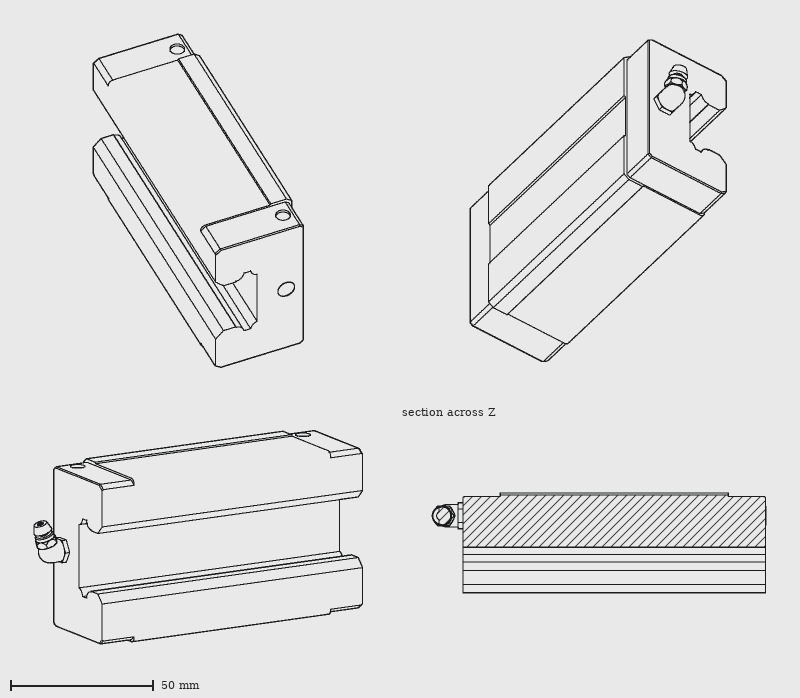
import cadquery as cq
import math

block_length = 80.0
cap_length = 13.0
depth = 35.0
height = 60.0
carriage_length = block_length + 2 * cap_length

side_relief = 0.5
land_depth = 8.4
land_slope = 0.3
back_chamfer_y = 2.1
back_chamfer_z = 1.6
front_fillet = 1.9
back_recess_half_height = 9.4
back_recess_depth = 0.7
back_recess_slope = 0.4

cap_back_inset = 1.2
cap_side_inset = 1.2
cap_front_chamfer_y = 2.0
cap_front_chamfer_z = 1.5
cap_back_chamfer_y = 1.4
cap_back_chamfer_z = 1.0
cap_end_chamfer_x = 0.5
cap_end_chamfer_side = 0.35
port_diameter = 5.2
port_depth = 1.0
port_from_end = 7.2
port_y = 29.0

slot_depth = 15.9
slot_wall_half = 11.4
groove_half = 14.0
groove_back_y = 13.4
groove_front_y = 10.9
lip_half = 10.9
lip_step_half = 11.2
lip_back_y = 7.8
lip_front_y = 3.0
lip_chamfer_half = 13.9
inner_rounding_middle = (14.4, 12.2)
inner_rounding_end = (13.7, 13.35)
outer_rounding_start = (10.6, 13.2)
outer_rounding_middle = (9.7, 11.9)

fitting_y = 27.0
base_hex_flats = 8.0
base_hex_length = 1.7
elbow_radius = 4.0
elbow_reach = 5.4
nipple_tilt = 20.0
nipple_hex_flats = 7.0
nipple_hex_start = 2.8
nipple_hex_end = 5.4
nipple_hex_corner_start = 3.3
nipple_hex_corner_end = 4.4
collar_radius = 3.3
collar_bevel = 0.4
collar_end = 7.0
neck_radius = 1.5
head_start = 8.2
head_end = 11.1
head_base_radius = 3.3
head_tip_radius = 2.35
tip_hole_radius = 1.1
ball_top_drop = 0.1
ball_rim_drop = 0.5
ball_rise = ball_rim_drop - ball_top_drop
ball_radius = (tip_hole_radius**2 + ball_rise**2) / (2 * ball_rise)
hex_corner_ratio = 2 / math.sqrt(3)

plug_diameter = 6.4
plug_height = 0.2


def mirrored_outline(half_points):
    """Closed Y-Z outline from points of its upper half, mirrored about Z = 0."""
    lower = [(y, -z) for y, z in reversed(half_points)]
    return cq.Workplane("YZ").polyline(half_points + lower).close()


def steel_block():
    top = height / 2
    side = top - side_relief
    recess_y = depth - back_recess_depth
    outline = mirrored_outline([
        (0, side),
        (depth - land_depth, side),
        (depth - land_depth + land_slope, top),
        (depth - back_chamfer_y, top),
        (depth, top - back_chamfer_z),
        (depth, back_recess_half_height + back_recess_slope),
        (recess_y, back_recess_half_height),
    ])
    block = outline.extrude(block_length)
    block = block.edges("|X and <Y").fillet(front_fillet)
    return block.translate((cap_length, 0, 0))


def end_cap():
    """Cap with its outer end at X = 0."""
    side = height / 2 - cap_side_inset
    back = depth - cap_back_inset
    cap = mirrored_outline([
        (0, side - cap_front_chamfer_z),
        (cap_front_chamfer_y, side),
        (back - cap_back_chamfer_y, side),
        (back, side - cap_back_chamfer_z),
    ]).extrude(cap_length)
    end_edges = cap.faces("<X").edges("not(<Y)")
    cap = end_edges.chamfer(cap_end_chamfer_x, cap_end_chamfer_side)
    port = (
        cq.Workplane("XY", origin=(port_from_end, port_y, side - port_depth))
        .circle(port_diameter / 2)
        .extrude(port_depth)
    )
    return cap.cut(port)


def rail_slot():
    """Slot along the whole carriage with a rounded ball track on each side."""
    half = (
        cq.Workplane("YZ")
        .moveTo(0, 0)
        .lineTo(slot_depth, 0)
        .lineTo(slot_depth, slot_wall_half)
        .threePointArc(inner_rounding_middle, inner_rounding_end)
        .lineTo(groove_back_y, groove_half)
        .lineTo(groove_front_y, groove_half)
        .lineTo(*outer_rounding_start)
        .threePointArc(outer_rounding_middle, (lip_back_y, lip_step_half))
        .lineTo(lip_back_y, lip_half)
        .lineTo(lip_front_y, lip_half)
        .lineTo(0, lip_chamfer_half)
        .close()
        .extrude(carriage_length)
    )
    return half.union(half.mirror("XY"))


def turned_about_z(half_section):
    """Solid of revolution about Z from a half section in the X-Z plane."""
    return half_section.close().revolve(360, (0, 0), (0, 1))


def nipple():
    """Grease nipple along +Z, with the elbow centre at the origin."""
    corner_radius = nipple_hex_flats * hex_corner_ratio / 2
    hexagon = (
        cq.Workplane("XY", origin=(0, 0, nipple_hex_start))
        .polygon(6, 2 * corner_radius)
        .extrude(nipple_hex_end - nipple_hex_start)
    )
    rounding = turned_about_z(
        cq.Workplane("XZ").polyline([
            (0, nipple_hex_start),
            (nipple_hex_flats / 2, nipple_hex_start),
            (corner_radius, nipple_hex_corner_start),
            (corner_radius, nipple_hex_corner_end),
            (nipple_hex_flats / 2, nipple_hex_end),
            (0, nipple_hex_end),
        ])
    )
    stem = turned_about_z(
        cq.Workplane("XZ").polyline([
            (0, 0),
            (neck_radius, 0),
            (neck_radius, nipple_hex_start),
            (collar_radius, nipple_hex_start),
            (collar_radius, collar_end - collar_bevel),
            (collar_radius - collar_bevel, collar_end),
            (neck_radius, collar_end),
            (neck_radius, head_start),
            (head_base_radius, head_start),
            (head_tip_radius, head_end),
            (0, head_end),
        ])
    )
    tip_hole = turned_about_z(
        cq.Workplane("XZ")
        .moveTo(0, head_end)
        .lineTo(tip_hole_radius, head_end)
        .lineTo(tip_hole_radius, head_end - ball_rim_drop)
        .radiusArc((0, head_end - ball_top_drop), -ball_radius)
    )
    return hexagon.intersect(rounding).union(stem).cut(tip_hole)


def grease_fitting():
    base_hex = (
        cq.Workplane("YZ", origin=(-base_hex_length, 0, 0))
        .polygon(6, base_hex_flats * hex_corner_ratio)
        .extrude(base_hex_length)
    )
    elbow = (
        cq.Workplane("XY")
        .moveTo(0, 0)
        .lineTo(0, elbow_radius)
        .lineTo(-elbow_reach, elbow_radius)
        .radiusArc((-elbow_reach - elbow_radius, 0), -elbow_radius)
        .close()
        .revolve(360, (0, 0), (1, 0))
    )
    tilted_nipple = (
        nipple()
        .rotate((0, 0, 0), (0, 1, 0), -nipple_tilt)
        .translate((-elbow_reach, 0, 0))
    )
    fitting = base_hex.union(elbow).union(tilted_nipple)
    return fitting.translate((0, fitting_y, 0))


def plug():
    return (
        cq.Workplane("YZ", origin=(carriage_length, fitting_y, 0))
        .circle(plug_diameter / 2)
        .extrude(plug_height)
    )


near_cap = end_cap()
far_cap = near_cap.mirror("YZ").translate((carriage_length, 0, 0))
carriage = steel_block().union(near_cap).union(far_cap).cut(rail_slot())
result = carriage.union(grease_fitting()).union(plug())